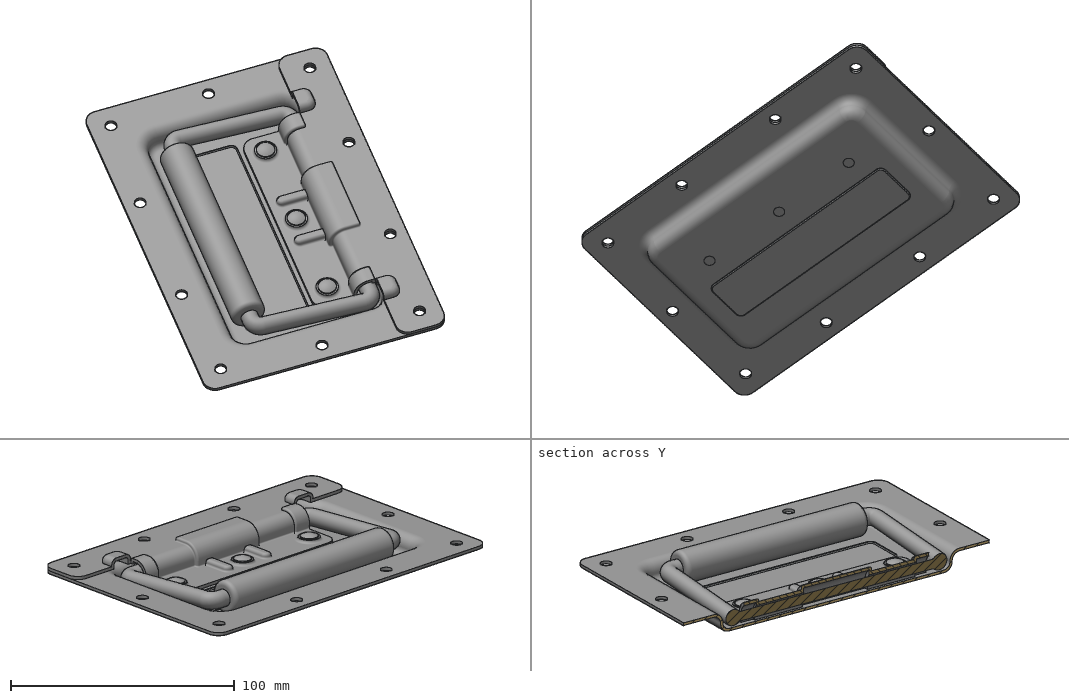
import cadquery as cq
import math

LENGTH = 166.0
WIDTH = 114.0
SHEET = 1.5
CORNER_RADIUS = 5.6

HOLE_DIAMETER = 5.3
CORNER_HOLE_X, CORNER_HOLE_Y = 73.0, 47.1
LONG_EDGE_HOLE_X, LONG_EDGE_HOLE_Y = 27.5, 49.5
SHORT_EDGE_HOLE_X = 75.5

DISH_HALF_X, DISH_HALF_Y = 61.5, 35.4
DISH_CORNER_RADIUS = 6.6
DISH_DEPTH = 8.6
LIP_RADIUS = 5.3
FLOOR_RADIUS = 3.2

RECESS_HALF_X = 51.0
RECESS_BACK_Y, RECESS_FRONT_Y = 4.0, -17.8
RECESS_CORNER_RADIUS = 3.0
RECESS_DEPTH = 0.8
RECESS_CHAMFER = 0.5

AXIS_Y = 31.2
ROLL_RADIUS = 5.8
AXIS_Z = SHEET - ROLL_RADIUS
PLATE_FRONT_Y = 34.4
FLANGE_HALF_X = 50.1
FLANGE_FRONT_Y = 6.0
FOOT_RADIUS = 0.7

COLLAR_RADIUS = 7.0
COLLAR_INNER_X = 42.0
COLLAR_BACK_Y = PLATE_FRONT_Y
COLLAR_ROUND = 1.0

KNUCKLE_RADIUS = 7.6
KNUCKLE_HALF_X = 19.1
KNUCKLE_BACK_Y = 38.5
KNUCKLE_ROUND = 1.0

HUMP_WIDTH = 11.6
HUMP_BACK_Y = 42.8
HUMP_HEIGHT = 3.5
HUMP_CORNER_RADIUS = 4.0
HUMP_ROUND = 3.0

RIB_X = 11.8
RIB_CREST_HALF_WIDTH = 0.91
RIB_SHOULDER_RADIUS = 1.5
RIB_BASE_RADIUS = 1.0
RIB_END_Y = 12.1

RIVET_PITCH = 41.0
RIVET_Y = 14.8
BOSS_RADIUS = 5.0
BOSS_HEIGHT = 1.5
SHANK_RADIUS = 2.5
HEAD_RADIUS = 4.2
HEAD_EDGE = 0.5
HEAD_DOME = 1.2

WIRE_RADIUS = 4.0
WIRE_BEND_RADIUS = 4.2
LEG_X = 56.1
GRIP_Y, GRIP_Z = -25.0, -0.2
GRIP_RADIUS = 7.8
GRIP_HALF_X = 49.1
GRIP_ROUND = 2.2

DIAGONAL = math.sqrt(0.5)
MARGIN = 0.02
FLOOR_Z = -DISH_DEPTH
FLANGE_TOP_Z = FLOOR_Z + SHEET
TRAY_BOTTOM_Z = FLOOR_Z - SHEET

RIVET_XS = (-RIVET_PITCH, 0, RIVET_PITCH)
RIVET_POINTS = [(x, RIVET_Y) for x in RIVET_XS]
FIXING_POINTS = (
    [(sx * CORNER_HOLE_X, sy * CORNER_HOLE_Y) for sx in (-1, 1) for sy in (-1, 1)]
    + [(sx * LONG_EDGE_HOLE_X, sy * LONG_EDGE_HOLE_Y) for sx in (-1, 1) for sy in (-1, 1)]
    + [(sx * SHORT_EDGE_HOLE_X, 0) for sx in (-1, 1)]
)


def block(x0, x1, y0, y1, z0, z1):
    """Box given by its limits along X, Y and Z."""
    return cq.Workplane("XY").box(x1 - x0, y1 - y0, z1 - z0, centered=False).translate((x0, y0, z0))


def lines_within(x, y, z):
    """Selector for edges that lie wholly inside the X, Y and Z ranges given."""
    low, high = zip(x, y, z)
    return cq.selectors.BoxSelector(
        [value - MARGIN for value in low], [value + MARGIN for value in high], boundingbox=True
    )


def through_cylinders(points, radius):
    """Cutters that pass through every sheet at the given XY points."""
    return (
        cq.Workplane("XY").workplane(offset=-LENGTH / 2)
        .pushPoints(points).circle(radius).extrude(LENGTH)
    )


def dish_block(grow):
    """Dish volume, enlarged all round by `grow`, with its lower edges rounded."""
    return (
        block(
            -DISH_HALF_X - grow, DISH_HALF_X + grow,
            -DISH_HALF_Y - grow, DISH_HALF_Y + grow,
            FLOOR_Z - grow, 0,
        )
        .edges("|Z").fillet(DISH_CORNER_RADIUS + grow)
        .faces("<Z").edges().fillet(FLOOR_RADIUS + grow)
    )


def recess_block(depth):
    """Recess volume that reaches from `depth` below the dish floor up to the floor."""
    return (
        block(-RECESS_HALF_X, RECESS_HALF_X, RECESS_FRONT_Y, RECESS_BACK_Y, FLOOR_Z - depth, FLOOR_Z)
        .edges("|Z").fillet(RECESS_CORNER_RADIUS)
        .faces("<Z").edges().chamfer(RECESS_CHAMFER)
    )


def lines_on_rim(z):
    """Selector for the dish outline where it meets the rim face at height `z`."""
    reach_x, reach_y = DISH_HALF_X + SHEET, DISH_HALF_Y + SHEET
    return lines_within((-reach_x, reach_x), (-reach_y, reach_y), (z, z))


def make_tray():
    rim = cq.Workplane("XY").rect(LENGTH, WIDTH).extrude(-SHEET).edges("|Z").fillet(CORNER_RADIUS)
    tray = rim.union(dish_block(SHEET))
    tray = tray.edges(lines_on_rim(-SHEET)).fillet(LIP_RADIUS - SHEET)
    tray = tray.cut(dish_block(0))
    tray = tray.edges(lines_on_rim(0)).fillet(LIP_RADIUS)
    tray = tray.union(recess_block(SHEET + RECESS_DEPTH)).cut(recess_block(RECESS_DEPTH))
    tray = tray.cut(through_cylinders(FIXING_POINTS, HOLE_DIAMETER / 2))
    return tray.cut(through_cylinders(RIVET_POINTS, SHANK_RADIUS))


def hood(x0, x1, radius, back_y, back_z=0):
    """Solid rolled over the hinge axis: flat top, quarter round, straight front down to the floor.

    Behind the axis it reaches from its top down to `back_z`.
    """
    slant = radius * DIAGONAL
    return (
        cq.Workplane("YZ").workplane(offset=x0)
        .moveTo(back_y, back_z)
        .lineTo(back_y, AXIS_Z + radius)
        .lineTo(AXIS_Y, AXIS_Z + radius)
        .threePointArc((AXIS_Y - slant, AXIS_Z + slant), (AXIS_Y - radius, AXIS_Z))
        .lineTo(AXIS_Y - radius, FLOOR_Z)
        .lineTo(AXIS_Y, FLOOR_Z)
        .lineTo(AXIS_Y, back_z)
        .close()
        .extrude(x1 - x0)
    )


def hood_cavity(x0, x1, radius, back_y):
    """Inside of a hood, one sheet thickness smaller and open below."""
    return hood(x0, x1, radius - SHEET, back_y, AXIS_Z)


def foot_lines(outer_radius, inner_radius):
    """Selector for the lines where shapes rolled to radii in this range meet the flange."""
    return lines_within(
        (-FLANGE_HALF_X, FLANGE_HALF_X),
        (AXIS_Y - outer_radius, AXIS_Y - inner_radius),
        (FLANGE_TOP_Z, FLANGE_TOP_Z),
    )


def knuckle_back_line():
    """Selector for the back of the knuckle on the flat plate; its fillet runs on round the sides."""
    return lines_within(
        (-KNUCKLE_HALF_X, KNUCKLE_HALF_X), (KNUCKLE_BACK_Y, KNUCKLE_BACK_Y), (SHEET, SHEET)
    )


def collar(side):
    """End collar on a small patch of the flange, with a concave foot between the two."""
    x0, x1 = sorted((side * FLANGE_HALF_X, side * COLLAR_INNER_X))
    inner_end = "<X" if side > 0 else ">X"
    body = hood(x0, x1, COLLAR_RADIUS, COLLAR_BACK_Y)
    body = body.faces(inner_end).edges("%CIRCLE").fillet(COLLAR_ROUND)
    body = body.faces(">Y").edges(">Z").fillet(COLLAR_ROUND)
    front_y = AXIS_Y - COLLAR_RADIUS
    patch_x0, patch_x1 = sorted((side * FLANGE_HALF_X, side * (COLLAR_INNER_X - SHEET)))
    patch = block(patch_x0, patch_x1, front_y - SHEET, AXIS_Y, FLOOR_Z, FLANGE_TOP_Z)
    return body.union(patch).edges(foot_lines(COLLAR_RADIUS, COLLAR_RADIUS)).fillet(FOOT_RADIUS)


def knuckle():
    body = hood(-KNUCKLE_HALF_X, KNUCKLE_HALF_X, KNUCKLE_RADIUS, KNUCKLE_BACK_Y)
    return body.edges("%CIRCLE").fillet(KNUCKLE_ROUND).faces(">Y").edges(">Z").fillet(KNUCKLE_ROUND)


def hump(side, inset):
    """Rounded hump, smaller by `inset`, that is open at the front edge of the plate."""
    half = HUMP_WIDTH / 2 - inset
    centre_x = side * LEG_X
    back_y = HUMP_BACK_Y - inset
    body = block(
        centre_x - half, centre_x + half, PLATE_FRONT_Y, back_y, 0, SHEET + HUMP_HEIGHT - inset
    )
    body = body.edges("|Z and >Y").fillet(HUMP_CORNER_RADIUS - inset)
    return body.faces(">Z").edges("not <Y").fillet(HUMP_ROUND - inset)


def rib(x):
    """Rib that runs forward from under the knuckle and ends in a half round."""
    back_y = AXIS_Y - KNUCKLE_RADIUS + SHEET / 2
    height = RIB_BASE_RADIUS + RIB_SHOULDER_RADIUS
    wall_x = RIB_CREST_HALF_WIDTH + RIB_SHOULDER_RADIUS
    base_x = wall_x + RIB_BASE_RADIUS
    base_bulge = RIB_BASE_RADIUS * (1 - DIAGONAL)
    shoulder_x = RIB_CREST_HALF_WIDTH + RIB_SHOULDER_RADIUS * DIAGONAL
    shoulder_z = RIB_BASE_RADIUS + RIB_SHOULDER_RADIUS * DIAGONAL
    half_section = (
        cq.Workplane("XZ")
        .lineTo(base_x, 0)
        .threePointArc((wall_x + base_bulge, base_bulge), (wall_x, RIB_BASE_RADIUS))
        .threePointArc((shoulder_x, shoulder_z), (RIB_CREST_HALF_WIDTH, height))
        .lineTo(0, height)
        .close()
    )
    half_bar = half_section.extrude(RIB_END_Y - back_y)
    round_end = half_section.toPending().revolve(360, (0, 0, 0), (0, 1, 0))
    return half_bar.union(half_bar.mirror("YZ")).union(round_end).translate((x, RIB_END_Y, FLANGE_TOP_Z))


def boss():
    """Boss whose side runs out into the flange in a concave quarter round."""
    foot = BOSS_RADIUS + BOSS_HEIGHT
    bulge = BOSS_HEIGHT * (1 - DIAGONAL)
    return (
        cq.Workplane("XZ")
        .lineTo(foot, 0)
        .threePointArc((BOSS_RADIUS + bulge, bulge), (BOSS_RADIUS, BOSS_HEIGHT))
        .lineTo(0, BOSS_HEIGHT)
        .close()
        .revolve(360, (0, 0, 0), (0, 1, 0))
    )


def make_plate():
    half_length = LENGTH / 2
    plate = (
        block(-half_length, half_length, PLATE_FRONT_Y, WIDTH / 2, 0, SHEET)
        .edges("|Z").fillet(CORNER_RADIUS)
    )
    flange = (
        block(-FLANGE_HALF_X, FLANGE_HALF_X, FLANGE_FRONT_Y, AXIS_Y, FLOOR_Z, FLANGE_TOP_Z)
        .edges("|Z and <Y").fillet(CORNER_RADIUS)
    )
    plate = plate.union(flange)
    plate = plate.union(hood(-FLANGE_HALF_X, FLANGE_HALF_X, ROLL_RADIUS, PLATE_FRONT_Y))
    plate = plate.union(knuckle())
    plate = plate.edges(foot_lines(KNUCKLE_RADIUS, ROLL_RADIUS) + knuckle_back_line()).fillet(FOOT_RADIUS)
    for side in (-1, 1):
        plate = plate.union(collar(side)).union(hump(side, 0))
    for x in (-RIB_X, RIB_X):
        plate = plate.union(rib(x))
    for x, y in RIVET_POINTS:
        plate = plate.union(boss().translate((x, y, FLANGE_TOP_Z)))

    plate = plate.cut(hood_cavity(-FLANGE_HALF_X, FLANGE_HALF_X, ROLL_RADIUS, PLATE_FRONT_Y))
    knuckle_inside = KNUCKLE_HALF_X - SHEET
    plate = plate.cut(
        hood_cavity(-knuckle_inside, knuckle_inside, KNUCKLE_RADIUS, KNUCKLE_BACK_Y - SHEET)
    )
    for side in (-1, 1):
        x0, x1 = sorted((side * FLANGE_HALF_X, side * (COLLAR_INNER_X + SHEET)))
        plate = plate.cut(hood_cavity(x0, x1, COLLAR_RADIUS, COLLAR_BACK_Y - SHEET))
        plate = plate.cut(hump(side, SHEET))
    plate = plate.cut(through_cylinders(FIXING_POINTS, HOLE_DIAMETER / 2))
    return plate.cut(through_cylinders(RIVET_POINTS, SHANK_RADIUS))


def make_handle():
    """Closed wire loop with its grip, built level and then tilted about the hinge axis."""
    reach = math.hypot(AXIS_Y - GRIP_Y, GRIP_Z - AXIS_Z)
    tilt = math.degrees(math.atan2(GRIP_Z - AXIS_Z, AXIS_Y - GRIP_Y))
    front_y = AXIS_Y - reach
    bend = WIRE_BEND_RADIUS
    inset = bend * (1 - DIAGONAL)
    path = (
        cq.Workplane("XY", origin=(0, 0, AXIS_Z))
        .moveTo(0, AXIS_Y)
        .lineTo(LEG_X - bend, AXIS_Y)
        .threePointArc((LEG_X - inset, AXIS_Y - inset), (LEG_X, AXIS_Y - bend))
        .lineTo(LEG_X, front_y + bend)
        .threePointArc((LEG_X - inset, front_y + inset), (LEG_X - bend, front_y))
        .lineTo(0, front_y)
    )
    half_loop = cq.Workplane("YZ", origin=(0, AXIS_Y, AXIS_Z)).circle(WIRE_RADIUS).sweep(path)
    grip = (
        cq.Workplane("YZ", origin=(-GRIP_HALF_X, front_y, AXIS_Z))
        .circle(GRIP_RADIUS).extrude(2 * GRIP_HALF_X)
        .edges().fillet(GRIP_ROUND)
    )
    handle = half_loop.union(half_loop.mirror("YZ")).union(grip)
    return handle.rotate((0, AXIS_Y, AXIS_Z), (1, AXIS_Y, AXIS_Z), -tilt)


def make_rivet(x):
    """Domed head on the boss, shank flush with the underside of the tray."""
    seat_z = FLANGE_TOP_Z + BOSS_HEIGHT
    edge_z = seat_z + HEAD_EDGE
    dome_radius = (HEAD_RADIUS**2 + HEAD_DOME**2) / (2 * HEAD_DOME)
    middle_x = HEAD_RADIUS / 2
    middle_z = edge_z + HEAD_DOME - dome_radius + math.sqrt(dome_radius**2 - middle_x**2)
    return (
        cq.Workplane("XZ")
        .moveTo(0, TRAY_BOTTOM_Z)
        .lineTo(SHANK_RADIUS, TRAY_BOTTOM_Z)
        .lineTo(SHANK_RADIUS, seat_z)
        .lineTo(HEAD_RADIUS, seat_z)
        .lineTo(HEAD_RADIUS, edge_z)
        .threePointArc((middle_x, middle_z), (0, edge_z + HEAD_DOME))
        .close()
        .revolve(360, (0, 0, 0), (0, 1, 0))
        .translate((x, RIVET_Y, 0))
    )


tray = make_tray()
plate = make_plate()
handle = make_handle()
rivets = [make_rivet(x) for x in RIVET_XS]

result = cq.Compound.makeCompound(
    [tray.val(), plate.val(), handle.val(), *[rivet.val() for rivet in rivets]]
)